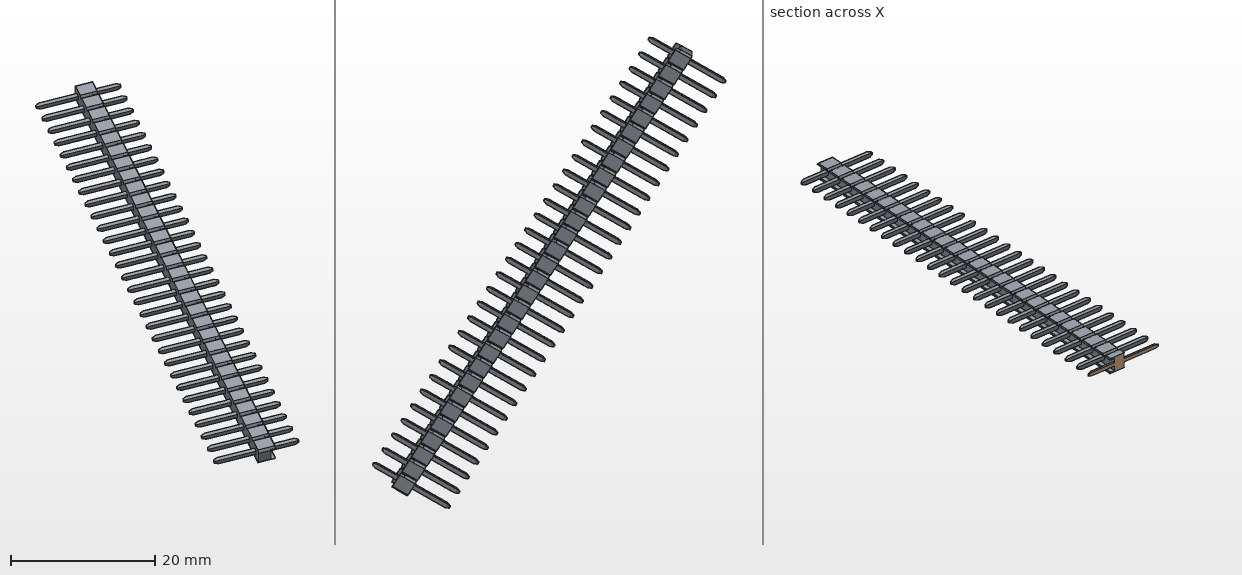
import cadquery as cq

pin_count = 30
row_length = 76.2
pitch = row_length / pin_count

body_height = 2.5
body_depth = 2.5
chamfer_x = 0.3
chamfer_z = 0.405

lip_thickness = 0.32
groove_depth = 0.7
groove_height = body_height - 2 * lip_thickness

pin_width = 0.64
pin_length = 12.4
front_reach = 6.1
taper_length = 0.56
tip_width = 0.32

pin_offset_x = -0.1

pin_front_y = -front_reach
pin_back_y = pin_front_y + pin_length


def cell_center(index):
    """X position of the middle of a cell, with the row centred on X = 0."""
    return (index - (pin_count - 1) / 2) * pitch


def make_housing():
    """Row of chamfered cells joined at their sides, drawn as one outline."""
    top_z = body_height / 2
    shoulder_z = top_z - chamfer_z
    half_pitch = pitch / 2
    half_flat = half_pitch - chamfer_x

    upper_edge = [(-row_length / 2, shoulder_z)]
    for index in range(pin_count):
        x = cell_center(index)
        upper_edge.append((x - half_flat, top_z))
        upper_edge.append((x + half_flat, top_z))
        upper_edge.append((x + half_pitch, shoulder_z))
    lower_edge = [(x, -z) for x, z in reversed(upper_edge)]

    housing = cq.Workplane("XZ").polyline(upper_edge + lower_edge).close().extrude(-body_depth)

    groove = (
        cq.Workplane("XY")
        .box(row_length, groove_depth, groove_height)
        .translate((0, body_depth - groove_depth / 2, 0))
    )
    return housing.cut(groove)


def make_taper(base_y, tip_y):
    """Pin end narrowing from the full pin section at base_y to the tip at tip_y."""
    base_section = cq.Workplane("XZ", origin=(0, base_y, 0)).rect(pin_width, pin_width)
    return base_section.workplane(offset=base_y - tip_y).rect(tip_width, tip_width).loft(ruled=True)


def make_pin():
    """One pin along Y, centred on X = 0 and Z = 0."""
    shank_front_y = pin_front_y + taper_length
    shank_back_y = pin_back_y - taper_length
    shank = (
        cq.Workplane("XZ", origin=(0, shank_front_y, 0))
        .rect(pin_width, pin_width)
        .extrude(shank_front_y - shank_back_y)
    )
    front_end = make_taper(shank_front_y, pin_front_y)
    back_end = make_taper(shank_back_y, pin_back_y)
    return shank.union(front_end).union(back_end)


pin = make_pin().val()
pins = [pin.translate(cq.Vector(cell_center(index) + pin_offset_x, 0, 0)) for index in range(pin_count)]
header = make_housing().val().fuse(*pins)
result = cq.Workplane("XY").newObject(header.Solids())